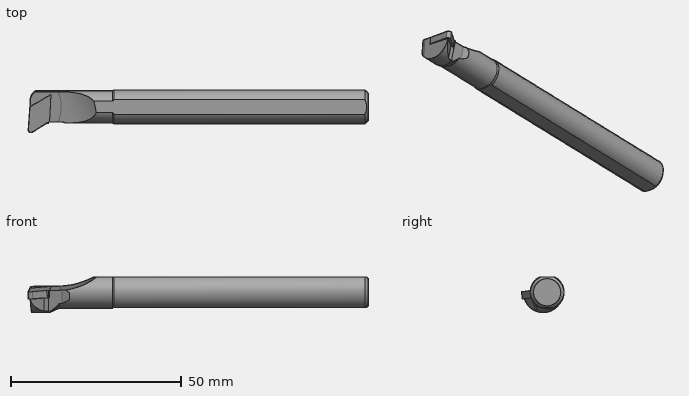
import cadquery as cq
import math

LENGTH = 100.0
SHANK_RADIUS = 5.0
NECK_RADIUS = 4.8
FLAT_HEIGHT = 4.5
SHANK_START = 25.3
NECK_END = 24.8
END_CHAMFER = 1.0

LOBE_RADIUS = 5.7
LOBE_Y = -1.2
HEAD_BOTTOM = -6.0
LOBE_Z = HEAD_BOTTOM + LOBE_RADIUS
LOBE_END = 6.3
LOBE_BLEND_END = 9.8
LOBE_BLEND_RADIUS = 4.4

RAKE_ANGLE = 8.0
RAKE_Z = 1.2
GULLET_AXIS_X = -2.0
GULLET_FLOOR_RADIUS = 11.7
GULLET_ARC_RADIUS = 17.0
GULLET_DEPTH = 6.0

INSERT_THICKNESS = 2.2
SHARP_TIP = (-0.1, -8.4)
TIP_RADIUS = 0.8
HEEL = (6.3, -4.35)
BACK_CORNER = (6.7, 3.65)
NOSE_BACK = (0.5, 0.0)

SIDE_LEAN = 14.0
SIDE_Y = -4.5
WALL_START = (0.0, -7.6)
WALL_END = (4.6, -4.9)
WALL_STEP_END = 6.0
SIDE_FLAT_END = 10.0
SIDE_RUNOUT_END = 12.2
SIDE_RUNOUT_Y = -5.0
NOSE_LEAN = 4.3
NOSE_START = (0.3, -7.6)
NOSE_CORNER = (0.6, 2.3)
CHAMFER_START = (0.9, 3.3)
BACK_CHAMFER_END = (2.4, 4.8)
CUT_REACH = 15.0


def leaning_plane(angle):
    """Plane through the rake height whose normal leans toward -Y."""
    lean = math.radians(angle)
    return cq.Plane(
        origin=(0, 0, RAKE_Z),
        xDir=(1, 0, 0),
        normal=(0, -math.sin(lean), math.cos(lean)),
    )


def onto_rake(shape):
    """Tilt a shape from the XY plane onto the rake face."""
    return shape.rotate((0, 0, 0), (1, 0, 0), RAKE_ANGLE).translate((0, 0, RAKE_Z))


def round_bar():
    """Turned neck and shank with parallel top and bottom flats."""
    bar = (
        cq.Workplane("XY")
        .moveTo(0, 0)
        .lineTo(0, NECK_RADIUS)
        .lineTo(NECK_END, NECK_RADIUS)
        .lineTo(SHANK_START, SHANK_RADIUS)
        .lineTo(LENGTH - END_CHAMFER, SHANK_RADIUS)
        .lineTo(LENGTH, SHANK_RADIUS - END_CHAMFER)
        .lineTo(LENGTH, 0)
        .close()
        .revolve(360, (0, 0, 0), (1, 0, 0))
    )
    top_flat = cq.Workplane("XY").box(
        LENGTH, 2 * SHANK_RADIUS, SHANK_RADIUS, centered=(False, True, False)
    ).translate((0, 0, FLAT_HEIGHT))
    bottom_flat = cq.Workplane("XY").box(
        LENGTH - NECK_END, 2 * SHANK_RADIUS, SHANK_RADIUS, centered=(False, True, False)
    ).translate((NECK_END, 0, -FLAT_HEIGHT - SHANK_RADIUS))
    return bar.cut(top_flat).cut(bottom_flat)


def head_lobe():
    """Offset cylinder that blends back into the neck."""
    lobe = (
        cq.Workplane("YZ").center(LOBE_Y, LOBE_Z).circle(LOBE_RADIUS).extrude(LOBE_END)
    )
    blend = (
        cq.Workplane("YZ", origin=(LOBE_END, 0, 0))
        .center(LOBE_Y, LOBE_Z)
        .circle(LOBE_RADIUS)
        .workplane(offset=LOBE_BLEND_END - LOBE_END)
        .center(-LOBE_Y, -LOBE_Z)
        .circle(LOBE_BLEND_RADIUS)
        .loft()
    )
    return lobe.union(blend)


def gullet_cutter():
    """Flat-floored bowl above the rake face, with a concave rising rim."""
    def rim_radius(height):
        return GULLET_FLOOR_RADIUS + math.sqrt(2 * GULLET_ARC_RADIUS * height - height**2)

    bowl = (
        cq.Workplane("XZ")
        .lineTo(GULLET_FLOOR_RADIUS, 0)
        .threePointArc(
            (rim_radius(GULLET_DEPTH / 4), GULLET_DEPTH / 4),
            (rim_radius(GULLET_DEPTH), GULLET_DEPTH),
        )
        .lineTo(0, GULLET_DEPTH)
        .close()
        .revolve(360, (0, 0, 0), (0, 1, 0))
    )
    return onto_rake(bowl).translate((GULLET_AXIS_X, 0, 0))


def side_cutter():
    """Leaning clearance below the insert's long edge and along the -Y side."""
    return (
        cq.Workplane(leaning_plane(SIDE_LEAN))
        .moveTo(0, -CUT_REACH)
        .lineTo(*WALL_START)
        .lineTo(*WALL_END)
        .lineTo(WALL_STEP_END, WALL_END[1])
        .lineTo(WALL_STEP_END, SIDE_Y)
        .lineTo(SIDE_FLAT_END, SIDE_Y)
        .lineTo(SIDE_RUNOUT_END, SIDE_RUNOUT_Y)
        .lineTo(SIDE_RUNOUT_END, -CUT_REACH)
        .close()
        .extrude(CUT_REACH, both=True)
    )


def nose_cutter():
    """Skewed end face with the bevelled +Y corner."""
    return (
        cq.Workplane(leaning_plane(RAKE_ANGLE))
        .moveTo(*NOSE_START)
        .lineTo(*NOSE_CORNER)
        .lineTo(*CHAMFER_START)
        .lineTo(*BACK_CHAMFER_END)
        .lineTo(BACK_CHAMFER_END[0], CUT_REACH)
        .lineTo(-CUT_REACH, CUT_REACH)
        .lineTo(-CUT_REACH, NOSE_START[1])
        .close()
        .extrude(CUT_REACH, both=True)
        .rotate((0, 0, RAKE_Z), (0, 1, RAKE_Z), -NOSE_LEAN)
    )


def make_insert():
    """Parallelogram insert, its top flush with the rake face."""
    plate = (
        cq.Workplane("XY")
        .polyline([SHARP_TIP, HEEL, BACK_CORNER, NOSE_BACK])
        .close()
        .extrude(-INSERT_THICKNESS)
        .edges("|Z")
        .edges("<Y")
        .fillet(TIP_RADIUS)
    )
    return onto_rake(plate).solids()


def make_holder(insert):
    """Bar and head, with a pocket that fits the insert."""
    holder = round_bar().union(head_lobe())
    for cutter in (gullet_cutter(), side_cutter(), nose_cutter()):
        holder = holder.cut(cutter)
    return holder.cut(insert).solids()


insert = make_insert()
holder = make_holder(insert)
result = cq.Compound.makeCompound([holder.val(), insert.val()])